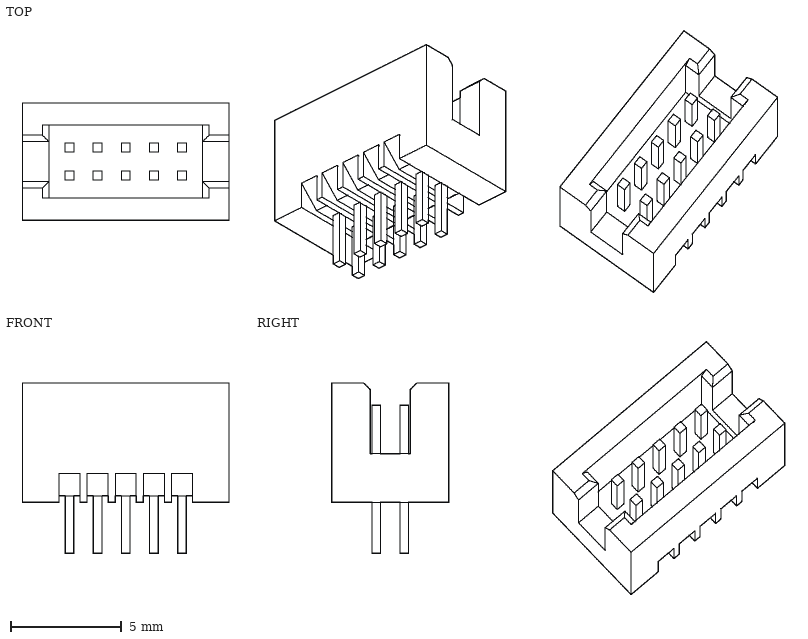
import cadquery as cq

housing_length = 9.34
housing_width = 5.3
housing_height = 5.4

cavity_length = 6.94
cavity_width = 3.3
cavity_floor_z = 1.4
slot_width = 1.8
slot_floor_z = 2.2
lead_in = 0.3

pins_per_row = 5
pin_pitch = 1.27
pin_size = 0.4
pin_recess = 1.0
pin_top_z = housing_height - pin_recess
pin_tail_length = 2.3
pin_bottom_z = -pin_tail_length

notch_width = 0.94
notch_outer_height = 1.3
notch_inner_height = 0.3
notch_ramp_run = notch_outer_height - notch_inner_height

column_positions = [(i - (pins_per_row - 1) / 2) * pin_pitch for i in range(pins_per_row)]
row_positions = [-pin_pitch / 2, pin_pitch / 2]


def box_between(length, width, z_bottom, z_top):
    """Box centred on the Z axis, between two heights."""
    return cq.Workplane("XY").workplane(offset=z_bottom).rect(length, width).extrude(z_top - z_bottom)


def flared_channel(plane, width, floor_z, run_length):
    """Channel open at the top, with both side walls flared at the rim."""
    half_width = width / 2
    flare_z = housing_height - lead_in
    return (
        cq.Workplane(plane)
        .moveTo(-half_width, floor_z)
        .lineTo(half_width, floor_z)
        .lineTo(half_width, flare_z)
        .lineTo(half_width + lead_in, housing_height)
        .lineTo(-half_width - lead_in, housing_height)
        .lineTo(-half_width, flare_z)
        .close()
        .extrude(run_length / 2, both=True)
    )


def cavity():
    """Rectangular pocket whose two end walls flare outwards at the rim."""
    return flared_channel("XZ", cavity_length, cavity_floor_z, cavity_width)


def end_slots():
    """Slot along X through both end walls, flared at the rim."""
    return flared_channel("YZ", slot_width, slot_floor_z, housing_length)


def foot_notch(x):
    """Channel across the foot, with a roof that ramps up towards both long sides."""
    outer_y = housing_width / 2
    inner_y = outer_y - notch_ramp_run
    return (
        cq.Workplane("YZ")
        .workplane(offset=x)
        .moveTo(-outer_y, 0)
        .lineTo(outer_y, 0)
        .lineTo(outer_y, notch_outer_height)
        .lineTo(inner_y, notch_inner_height)
        .lineTo(-inner_y, notch_inner_height)
        .lineTo(-outer_y, notch_outer_height)
        .close()
        .extrude(notch_width / 2, both=True)
    )


def pin(x, y):
    """Square contact pin running through the housing floor."""
    return box_between(pin_size, pin_size, pin_bottom_z, pin_top_z).translate((x, y, 0))


result = box_between(housing_length, housing_width, 0, housing_height)
result = result.cut(cavity()).cut(end_slots())

for column_x in column_positions:
    result = result.cut(foot_notch(column_x))

for column_x in column_positions:
    for row_y in row_positions:
        result = result.union(pin(column_x, row_y))